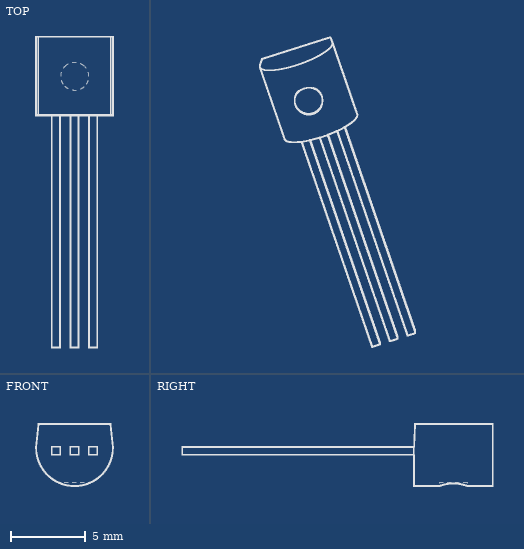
import cadquery as cq

total_length = 20.95
body_radius = 2.6
body_height = 4.2
body_length = 5.32

split_z = 0.05

flat_height = body_height - body_radius
flat_width = 4.85
front_draft = 0.06

lead_count = 3
lead_pitch = 1.25
lead_width = 0.57
lead_height = 0.52

mark_radius = 0.95
mark_depth = 0.25

back_y = body_length / 2
front_y = -body_length / 2
lead_tip_y = back_y - total_length


def make_body():
    """Half-round body topped by a tapered flat half."""
    body = (
        cq.Workplane("XZ", origin=(0, back_y, 0))
        .moveTo(-flat_width / 2, flat_height)
        .lineTo(flat_width / 2, flat_height)
        .lineTo(body_radius, split_z)
        .lineTo(body_radius, 0)
        .threePointArc((0, -body_radius), (-body_radius, 0))
        .lineTo(-body_radius, split_z)
        .close()
        .extrude(body_length)
    )
    draft_wedge = (
        cq.Workplane("YZ")
        .moveTo(front_y, split_z)
        .lineTo(front_y, flat_height)
        .lineTo(front_y + front_draft, flat_height)
        .close()
        .extrude(body_radius, both=True)
    )
    return body.cut(draft_wedge)


def make_mark():
    """Shallow round recess at the middle of the curved underside."""
    return (
        cq.Workplane("XY", origin=(0, 0, -body_radius))
        .circle(mark_radius)
        .extrude(mark_depth)
    )


def make_lead(x):
    """Straight square-cut lead whose top lies on the split plane."""
    return cq.Workplane("XY").box(
        lead_width, front_y - lead_tip_y, lead_height, centered=(True, False, False)
    ).translate((x, lead_tip_y, split_z - lead_height))


result = make_body().cut(make_mark())
for index in range(lead_count):
    lead_x = (index - (lead_count - 1) / 2) * lead_pitch
    result = result.union(make_lead(lead_x))